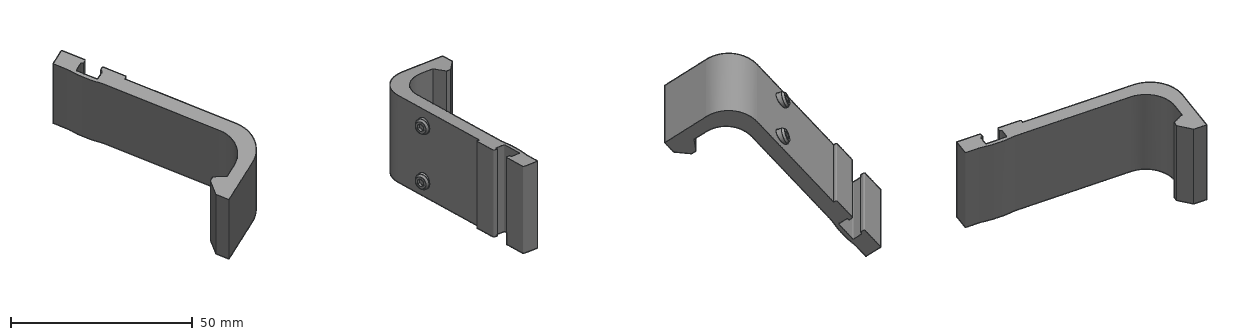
import cadquery as cq
import math

length = 64.3
height = 27.0

arm_back = 24.45
arm_front = 20.2
wall_inside = 60.25
outer_radius = 10.0
inner_radius = 9.0

lip_tip_x = 56.8
lip_tip_low = 3.55
lip_tip_high = 5.0
lip_root = 7.0

block_back = 25.4
block_length = 20.0
slot_center = 10.0
mouth_width = 5.2
slot_width = 6.55
slot_shoulder = 24.05
slot_floor = 20.95
edge_round = 0.4
chamber_round = 0.25
end_round = 0.1
bulge_width = 11.0
bulge_depth = 0.45

screw_top_x = 42.95
screw_top_y = 26.05
screw_tilt = 14.0
screw_spacing = 17.1
head_radius = 2.5
head_middle_radius = 2.3
head_top_radius = 1.8
head_height = 2.6
top_bevel_depth = 0.7
socket_flats = 2.0
socket_depth = 0.95


def make_bracket():
    """J-shaped section extruded along Z, with a shallow bulge under the slot."""
    bulge_start = slot_center - bulge_width / 2
    bulge_end = slot_center + bulge_width / 2
    body = (
        cq.Workplane("XY")
        .moveTo(0, block_back)
        .lineTo(0, arm_front)
        .lineTo(bulge_start, arm_front)
        .threePointArc((slot_center, arm_front - bulge_depth), (bulge_end, arm_front))
        .lineTo(wall_inside - inner_radius, arm_front)
        .radiusArc((wall_inside, arm_front - inner_radius), inner_radius)
        .lineTo(wall_inside, lip_root)
        .lineTo(lip_tip_x, lip_tip_high)
        .lineTo(lip_tip_x, lip_tip_low)
        .lineTo(wall_inside, 0)
        .lineTo(length, 0)
        .lineTo(length, arm_back - outer_radius)
        .radiusArc((length - outer_radius, arm_back), -outer_radius)
        .lineTo(block_length, arm_back)
        .lineTo(block_length, block_back)
        .close()
        .extrude(height)
    )
    block_edge = cq.selectors.NearestToPointSelector((block_length, block_back, height / 2))
    body = body.edges(block_edge).fillet(edge_round)
    return body.faces("<X").edges("|Z").fillet(end_round)


def slot_box(width, floor, top):
    """Full-height cutter centred on the slot, from floor to top in Y."""
    return (
        cq.Workplane("XY")
        .center(slot_center, (floor + top) / 2)
        .rect(width, top - floor)
        .extrude(height)
    )


def cut_slot(body):
    chamber = slot_box(slot_width, slot_floor, slot_shoulder).edges("|Z").fillet(chamber_round)
    body = body.cut(chamber).cut(slot_box(mouth_width, slot_floor, block_back))
    for side in (-1, 1):
        corner = (slot_center + side * mouth_width / 2, block_back, height / 2)
        body = body.edges(cq.selectors.NearestToPointSelector(corner)).fillet(edge_round)
    return body


def make_screw_head(z):
    """Bevelled and rounded head with a hex socket, its axis leaning toward the slot."""
    tilt = math.radians(screw_tilt)
    top_plane = cq.Plane(
        origin=(screw_top_x, screw_top_y, z),
        xDir=(0, 0, 1),
        normal=(-math.sin(tilt), math.cos(tilt), 0),
    )
    round_width = head_radius - head_middle_radius
    round_height = head_height - top_bevel_depth
    side_radius = (round_width**2 + round_height**2) / (2 * round_width)
    head = (
        cq.Workplane("XZ")
        .lineTo(head_top_radius, 0)
        .lineTo(head_middle_radius, -top_bevel_depth)
        .radiusArc((head_radius, -head_height), -side_radius)
        .lineTo(0, -head_height)
        .close()
        .revolve(360, (0, 0, 0), (0, 1, 0))
    )
    socket_diameter = socket_flats / math.cos(math.pi / 6)
    socket = (
        cq.Workplane("XY")
        .polygon(6, socket_diameter)
        .extrude(-socket_depth)
    )
    return cq.Workplane(obj=head.cut(socket).val().moved(cq.Location(top_plane)))


result = cut_slot(make_bracket())
for side in (-1, 1):
    result = result.union(make_screw_head(height / 2 + side * screw_spacing / 2))